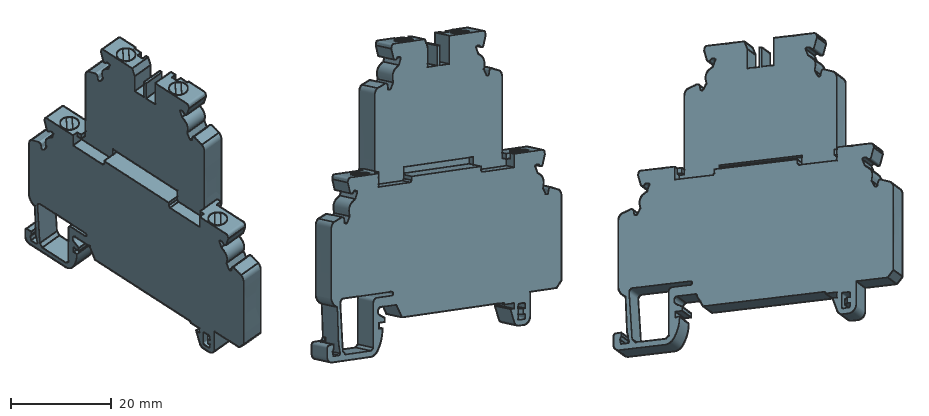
import cadquery as cq

body_thickness = 4.95
tower_setback = 2.5
base_half_width = 29.5
tower_half_width = 16.35
base_top = 36.9
tower_top = 62.1
base_wall_bottom = 12.9

ledge_z = 34.15
tower_foot_z = 34.6
tower_foot_chamfer = 0.25
saddle_z = 35.35
saddle_half_width = 8.9
saddle_flare = 0.4
arch_depth = 1.25
key_half_width = 17.4
key_bottom = 35.8
key_front = 1.25

slot_half_width = 2.8
slot_floor = 56.4
slot_lead_width = 0.7
slot_lead_depth = 1.7
blade_thickness = 0.6
blade_top = 60.4

channel_half_width = 7.25
channel_depth = 0.4
channel_floor = slot_floor - 0.3
notch_inner = 4.05
notch_outer = 5.4
notch_depth = 1.4
notch_height = 1.7

screw_diameter = 3.8
screw_inset = 9.1
screw_y = 2.1
screw_recess = 0.05
driver_slot_width = 1.2
driver_slot_depth = 0.2
driver_slot_angle = -45

recess_depth = 0.05
recess_inner_front = 0.9
recess_inner_back = 3.5
tower_recess_mouth_z = (base_top, 47.45)
tower_recess_floor_z = (39.0, 43.05)
base_recess_mouth_z = (base_wall_bottom, 25.3)
base_recess_floor_z = (17.8, 21.8)

web_thickness = 0.9
window_top = 12.6
window_left = -27.15
stem_right = -12.85
frame_inner = -18.7
frame_floor = 1.25
relief_end = -13.65
relief_slot_width = 0.8
latch_top = 9.8
clip_right = 21.5
clip_root_z = 8.5
clip_left = 17.3
clip_bottom = 2.0
clip_catch_z = 5.6
base_bottom = 7.1
clip_step_z = 6.7
hook_left = -30.55
latch_groove_right = -17.25
latch_groove_bottom = 5.45
latch_groove_top = 6.65
latch_nose_right = -15.8
clip_opening_left = 18.4
clip_opening_right = 20.2
clip_opening_bottom = 3.15
clip_opening_top = 6.45
clip_opening_radius = 0.4
tongue_bottom = 4.15
tongue_height = 1.2
tongue_taper_left = 18.7
tongue_taper_right = 19.6
tongue_taper_depth = 1.0


def plane_at(y):
    """XZ sketch plane at depth y; extruding by a negative length goes towards +Y."""
    return cq.Workplane("XZ", origin=(0, y, 0))


def block(x0, x1, y0, y1, z0, z1):
    return cq.Workplane("XY").box(x1 - x0, y1 - y0, z1 - z0, centered=False).translate((x0, y0, z0))


def plate(points, y_front, y_back):
    return plane_at(y_front).polyline(points).close().extrude(y_front - y_back)


def toothed_body(half_width, top, bottom, y_front):
    """Symmetric plate with an undercut head and a toothed shoulder at both top corners."""

    def at(inset, drop):
        return (inset - half_width, top - drop)

    half = (
        plane_at(y_front)
        .moveTo(0, bottom)
        .lineTo(0, top)
        .lineTo(*at(4.9, 0))
        .threePointArc(at(4.55, 0.1), at(4.35, 0.4))
        .lineTo(*at(4.2, 0.95))
        .lineTo(*at(4.8, 2.85))
        .threePointArc(at(5.2, 3.3), at(5.65, 3.05))
        .threePointArc(at(6.0, 2.8), at(6.7, 3.1))
        .lineTo(*at(6.15, 4.5))
        .lineTo(*at(5.6, 4.85))
        .threePointArc(at(4.65, 5.95), at(4.65, 7.4))
        .lineTo(*at(4.7, 7.8))
        .lineTo(*at(4.15, 8.9))
        .lineTo(*at(3.9, 9.1))
        .threePointArc(at(3.6, 9.1), at(3.4, 8.9))
        .lineTo(*at(3.3, 8.2))
        .threePointArc(at(3.0, 7.8), at(2.4, 7.9))
        .lineTo(*at(0.7, 8.5))
        .threePointArc(at(0.2, 9.05), at(0, 9.75))
        .lineTo(-half_width, bottom)
        .close()
        .extrude(-body_thickness)
    )
    return half.union(half.mirror("YZ"))


def finger_recesses(half_width, y_front, outer_z, inner_z):
    """Tapered recess in both end walls, as wide as the body at its mouth."""
    floor_width = recess_inner_back - recess_inner_front
    floor_height = inner_z[1] - inner_z[0]
    floor_center = (y_front + (recess_inner_front + recess_inner_back) / 2, sum(inner_z) / 2)
    mouth_center = (y_front + body_thickness / 2, sum(outer_z) / 2)
    recess = (
        cq.Workplane("YZ", origin=(half_width - recess_depth, 0, 0))
        .center(*floor_center)
        .rect(floor_width, floor_height)
        .workplane(offset=recess_depth)
        .center(mouth_center[0] - floor_center[0], mouth_center[1] - floor_center[1])
        .rect(body_thickness, outer_z[1] - outer_z[0])
        .loft(ruled=True)
    )
    return recess.union(recess.mirror("YZ"))


def screw_heads(half_width, top, y_front):
    """Slightly sunk screw heads with a diagonal driver slot, one on each side."""
    cuts = cq.Workplane("XY")
    for side in (-1, 1):
        center = (side * (half_width - screw_inset), y_front + screw_y, top)
        plane = cq.Workplane("XY", origin=center)
        head = plane.circle(screw_diameter / 2).extrude(-screw_recess)
        slot_limit = plane.circle(screw_diameter / 2).extrude(-driver_slot_depth)
        slot = (
            plane.transformed(rotate=(0, 0, driver_slot_angle))
            .rect(screw_diameter, driver_slot_width)
            .extrude(-driver_slot_depth)
            .intersect(slot_limit)
        )
        cuts = cuts.union(head).union(slot)
    return cuts


def make_tower():
    back = tower_setback + body_thickness
    tower = toothed_body(tower_half_width, tower_top, tower_foot_z, tower_setback)
    tower = tower.faces("<Z").edges(">Y").chamfer(tower_foot_chamfer)
    slot = plate(
        [
            (-slot_half_width, slot_floor),
            (slot_half_width, slot_floor),
            (slot_half_width, tower_top),
            (-slot_half_width - slot_lead_width, tower_top),
            (-slot_half_width, tower_top - slot_lead_depth),
        ],
        tower_setback,
        back,
    )
    channel = block(
        -channel_half_width, channel_half_width, back - channel_depth, back, channel_floor, tower_top
    )
    blade = block(
        -blade_thickness / 2, blade_thickness / 2, tower_setback, back - channel_depth, slot_floor, blade_top
    )
    tower = tower.cut(slot).cut(channel).union(blade)
    for x0 in (-notch_outer, notch_inner):
        x1 = x0 + notch_outer - notch_inner
        tower = tower.cut(block(x0, x1, back - notch_depth, back, tower_top - notch_height, tower_top))
    tower = tower.cut(screw_heads(tower_half_width, tower_top, tower_setback))
    return tower.cut(
        finger_recesses(tower_half_width, tower_setback, tower_recess_mouth_z, tower_recess_floor_z)
    )


def make_underside():
    """Lower edge of the base: plain bottom, lower right corner and the stem of the left foot."""
    return plate(
        [
            (frame_inner, base_wall_bottom),
            (frame_inner, latch_top),
            (stem_right, latch_top),
            (-11.35, base_bottom),
            (14.7, base_bottom),
            (14.9, clip_step_z),
            (clip_right, clip_step_z),
            (clip_right, clip_root_z),
            (28.25, clip_root_z),
            (base_half_width, 9.95),
            (base_half_width, base_wall_bottom),
        ],
        0,
        body_thickness,
    )


def make_foot():
    """Rail foot on the left: frame around a window, latch on its right and hook on its left."""
    frame = (
        plane_at(0)
        .moveTo(-base_half_width, base_wall_bottom)
        .threePointArc((-29.1, 12.0), (-27.95, 11.05))
        .lineTo(-27.65, 3.65)
        .lineTo(-29.9, 3.6)
        .threePointArc((-30.35, 3.4), (hook_left, 2.9))
        .lineTo(hook_left, 1.25)
        .threePointArc((-30.2, 0.4), (-29.3, 0))
        .lineTo(-19.25, 0)
        .threePointArc((-18.15, 0.5), (-17.5, 1.25))
        .threePointArc((-16.65, 3.2), (-16.35, latch_groove_bottom))
        .lineTo(latch_groove_right, latch_groove_bottom)
        .lineTo(latch_groove_right, latch_groove_top)
        .lineTo(latch_nose_right, latch_groove_top)
        .lineTo(latch_nose_right, 7.5)
        .lineTo(-17.0, 8.2)
        .threePointArc((-17.5, 9.1), (-16.95, latch_top))
        .lineTo(stem_right, latch_top)
        .lineTo(stem_right, base_wall_bottom)
        .close()
        .extrude(-body_thickness)
    )
    hook_pocket = plate(
        [
            (-28.9, 3.65),
            (-28.8, 2.9),
            (-29.1, 2.2),
            (-28.95, frame_floor),
            (-27.45, frame_floor),
            (-27.2, 1.6),
            (-27.65, 3.65),
        ],
        0,
        body_thickness - web_thickness,
    )
    web = plate(
        [(-28.1, 3.4), (-27.6, 4.55), (-27.2, 3.4)],
        body_thickness - web_thickness,
        body_thickness,
    )
    return frame.union(web).cut(hook_pocket)


def foot_window():
    """Window of the foot, running into a round-ended relief slot under the base."""
    relief_radius = relief_slot_width / 2
    slot_bottom = window_top - relief_slot_width
    return (
        plane_at(0)
        .moveTo(-26.45, window_top)
        .lineTo(relief_end - relief_radius, window_top)
        .threePointArc((relief_end, window_top - relief_radius), (relief_end - relief_radius, slot_bottom))
        .lineTo(-17.75, slot_bottom)
        .threePointArc((-18.5, 11.5), (frame_inner, 10.85))
        .lineTo(frame_inner, 1.8)
        .lineTo(-19.3, frame_floor)
        .lineTo(-25.85, frame_floor)
        .lineTo(-26.5, 2.0)
        .lineTo(window_left, 11.55)
        .threePointArc((-27.0, 12.25), (-26.45, window_top))
        .close()
        .extrude(-body_thickness)
    )


def make_clip():
    """Snap clip on the right, pierced by an opening with a tongue in it."""
    clip = (
        plane_at(0)
        .moveTo(clip_left, clip_root_z)
        .lineTo(clip_left, clip_catch_z)
        .lineTo(16.4, clip_catch_z)
        .lineTo(17.4, 2.85)
        .threePointArc((17.8, 2.25), (18.55, clip_bottom))
        .lineTo(20.0, clip_bottom)
        .threePointArc((21.0, 2.5), (clip_right, 3.5))
        .lineTo(clip_right, clip_root_z)
        .close()
        .extrude(-body_thickness)
    )
    opening = block(
        clip_opening_left, clip_opening_right, 0, body_thickness, clip_opening_bottom, clip_opening_top
    )
    opening = opening.edges("|Y").fillet(clip_opening_radius)
    tongue = (
        cq.Workplane("XY", origin=(0, 0, tongue_bottom))
        .polyline(
            [
                (clip_opening_right, 0),
                (tongue_taper_right, 0),
                (tongue_taper_left, tongue_taper_depth),
                (tongue_taper_left, body_thickness),
                (clip_opening_right, body_thickness),
            ]
        )
        .close()
        .extrude(tongue_height)
    )
    return clip.cut(opening).union(tongue)


def make_base():
    base = toothed_body(base_half_width, base_top, base_wall_bottom, 0)
    base = base.cut(screw_heads(base_half_width, base_top, 0))
    base = base.cut(finger_recesses(base_half_width, 0, base_recess_mouth_z, base_recess_floor_z))
    base = base.union(make_underside()).union(make_foot()).union(make_clip())
    base = base.cut(foot_window())
    seat = block(-key_half_width, key_half_width, 0, tower_setback, ledge_z, base_top)
    saddle = plate(
        [
            (-saddle_half_width - saddle_flare, ledge_z),
            (saddle_half_width + saddle_flare, ledge_z),
            (saddle_half_width, ledge_z + saddle_flare),
            (saddle_half_width, saddle_z),
            (-saddle_half_width, saddle_z),
            (-saddle_half_width, ledge_z + saddle_flare),
        ],
        0,
        tower_setback,
    )
    return base.cut(seat).union(saddle)


def joint_keys():
    """Small keys that flank the tower where it meets the base."""
    keys = cq.Workplane("XY")
    for x0 in (-key_half_width, tower_half_width):
        x1 = x0 + key_half_width - tower_half_width
        keys = keys.union(block(x0, x1, key_front, key_front + body_thickness, key_bottom, base_top))
    return keys


arch = block(
    -saddle_half_width, saddle_half_width, 0, tower_setback + arch_depth, saddle_z, base_top
)
result = make_base().union(make_tower()).union(joint_keys()).cut(arch)